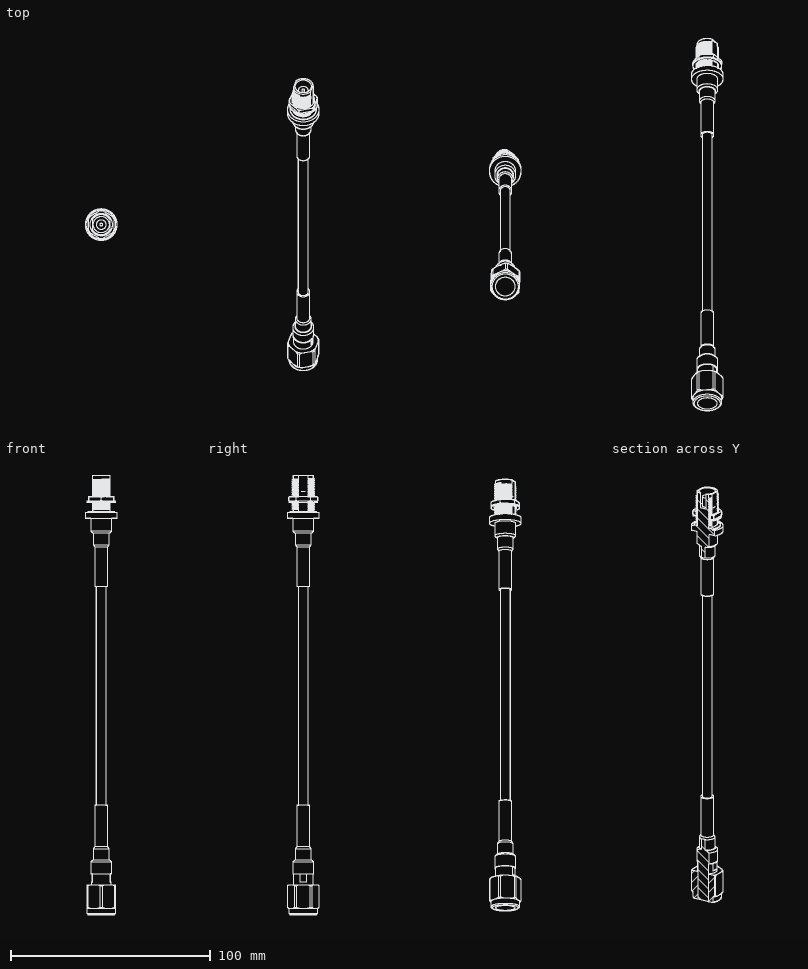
import cadquery as cq
import math


total_length = 219.96
flange_diameter = 15.88

cable_diameter = 5.0
boot_diameter = 6.5
lower_boot_top = 55.0
upper_boot_bottom = 164.3

collar_diameter = 7.8
shank_diameter = 10.5
collar_taper_height = 1.1
shank_chamfer = 1.0

wrench_neck_diameter = 9.8
wrench_flat_width = 9.2
wrench_flat_bottom = 16.4
plug_shank_bottom = 20.5
plug_shank_top = 27.5
plug_collar_top = 34.2

coupling_across_flats = 14.29
coupling_corner_diameter = flange_diameter
coupling_height = 15.1
coupling_ring_diameter = coupling_across_flats
coupling_ring_height = 3.3
coupling_ring_chamfer = 0.6
coupling_hex_chamfer = 0.5

jack_collar_bottom = 184.1
jack_shank_bottom = 191.0
flange_bottom = 198.4
flange_top = 201.4
flange_step_diameter = 13.2
flange_step_height = 0.5

thread_pitch = 25.4 / 28
thread_major_diameter = 11.11
thread_root_diameter = 10.1
thread_flats_width = 8.9
thread_end = total_length - 1.5
thread_bottom = flange_top + flange_step_height
thread_crest_width = thread_pitch / 8
thread_base_width = thread_pitch * 0.8
thread_embed = 0.1
thread_runout = 0.2
thread_clearance = 0.05
clearance_hole_diameter = thread_major_diameter + 2 * thread_clearance

socket_diameter = 8.1
socket_depth = 8.0
insulator_diameter = 4.8
insulator_recess = 3.0
contact_hole_diameter = 1.4
contact_hole_depth = 5.0

washer_bottom = 206.4
washer_thickness = 0.6
washer_diameter = 14.5
hex_nut_across_flats = 12.7
hex_nut_bottom = washer_bottom + washer_thickness
hex_nut_thickness = 2.3
hex_nut_chamfer = 0.45


def cylinder(diameter, bottom, top):
    return cq.Workplane("XY").workplane(offset=bottom).circle(diameter / 2).extrude(top - bottom)


def cone(bottom_diameter, top_diameter, bottom, top):
    frustum = cq.Solid.makeCone(
        bottom_diameter / 2, top_diameter / 2, top - bottom, pnt=cq.Vector(0, 0, bottom)
    )
    return cq.Workplane(obj=frustum)


def hexagon(across_flats, bottom, top):
    """Hexagonal bar with two faces square to X."""
    corner_diameter = across_flats / math.cos(math.pi / 6)
    bar = cq.Workplane("XY").workplane(offset=bottom).polygon(6, corner_diameter).extrude(top - bottom)
    return bar.rotate((0, 0, 0), (0, 0, 1), 30)


def flatted(body, width, bottom, top):
    """Cut a pair of flats, square to X, over part of the height of a round body."""
    height = top - bottom
    block = cq.Workplane("XY").box(flange_diameter, flange_diameter, height)
    block = block.cut(cq.Workplane("XY").box(width, flange_diameter, height))
    return body.cut(block.translate((0, 0, bottom + height / 2)))


def make_cable():
    return cylinder(cable_diameter, plug_collar_top, jack_collar_bottom)


def make_boot(bottom, top):
    return cylinder(boot_diameter, bottom, top).cut(cylinder(cable_diameter, bottom, top))


def make_plug_body():
    neck = cylinder(wrench_neck_diameter, 0, plug_shank_bottom)
    neck = flatted(neck, wrench_flat_width, wrench_flat_bottom, plug_shank_bottom)
    shank = cylinder(shank_diameter, plug_shank_bottom, plug_shank_top)
    shank = shank.faces(">Z").chamfer(shank_chamfer)
    taper_bottom = plug_collar_top - collar_taper_height
    collar = cylinder(collar_diameter, plug_shank_top, taper_bottom)
    taper = cone(collar_diameter, boot_diameter, taper_bottom, plug_collar_top)
    return neck.union(shank).union(collar).union(taper)


def make_coupling_nut():
    hex_part = hexagon(coupling_across_flats, coupling_ring_height, coupling_height)
    corner_trim = cylinder(coupling_corner_diameter, coupling_ring_height, coupling_height)
    corner_trim = corner_trim.faces("<Z or >Z").chamfer(coupling_hex_chamfer)
    ring = cylinder(coupling_ring_diameter, 0, coupling_ring_height)
    ring = ring.faces("<Z").chamfer(coupling_ring_chamfer)
    bore = cylinder(wrench_neck_diameter, 0, coupling_height)
    return hex_part.intersect(corner_trim).union(ring).cut(bore)


def make_thread_ridge():
    """Helical ridge with a truncated V profile, its base sunk slightly into the thread root."""
    root_radius = thread_root_diameter / 2
    inner_radius = root_radius - thread_embed
    start = thread_bottom + thread_runout + thread_base_width / 2
    height = thread_end - start - thread_base_width / 2
    helix = cq.Wire.makeHelix(thread_pitch, height, root_radius, center=cq.Vector(0, 0, start))
    profile = (
        cq.Workplane("XZ")
        .moveTo(inner_radius, start - thread_base_width / 2)
        .lineTo(thread_major_diameter / 2, start - thread_crest_width / 2)
        .lineTo(thread_major_diameter / 2, start + thread_crest_width / 2)
        .lineTo(inner_radius, start + thread_base_width / 2)
        .close()
    )
    return profile.sweep(cq.Workplane(helix), isFrenet=True)


def make_jack_body():
    taper_top = jack_collar_bottom + collar_taper_height
    taper = cone(boot_diameter, collar_diameter, jack_collar_bottom, taper_top)
    collar = cylinder(collar_diameter, taper_top, jack_shank_bottom)
    shank = cylinder(shank_diameter, jack_shank_bottom, flange_bottom)
    shank = shank.faces("<Z").chamfer(shank_chamfer)
    flange = cylinder(flange_diameter, flange_bottom, flange_top)
    step = cylinder(flange_step_diameter, flange_top, thread_bottom)
    barrel = cylinder(thread_root_diameter, thread_bottom, total_length).union(make_thread_ridge())
    barrel = flatted(barrel, thread_flats_width, thread_bottom, total_length)
    body = taper.union(collar).union(shank).union(flange).union(step).union(barrel)

    socket_floor = total_length - socket_depth
    insulator_top = total_length - insulator_recess
    socket = cylinder(socket_diameter, socket_floor, total_length)
    insulator = cylinder(insulator_diameter, socket_floor, insulator_top)
    contact_hole = cylinder(contact_hole_diameter, insulator_top - contact_hole_depth, insulator_top)
    return body.cut(socket.cut(insulator)).cut(contact_hole)


def make_washer():
    top = washer_bottom + washer_thickness
    washer = cylinder(washer_diameter, washer_bottom, top)
    return washer.cut(cylinder(clearance_hole_diameter, washer_bottom, top))


def make_hex_nut():
    top = hex_nut_bottom + hex_nut_thickness
    corner_diameter = hex_nut_across_flats / math.cos(math.pi / 6)
    trim = cylinder(corner_diameter, hex_nut_bottom, top).faces("<Z or >Z").chamfer(hex_nut_chamfer)
    nut = hexagon(hex_nut_across_flats, hex_nut_bottom, top).intersect(trim)
    return nut.cut(cylinder(clearance_hole_diameter, hex_nut_bottom, top))


cable = make_cable()
boot_spans = [(plug_collar_top, lower_boot_top), (upper_boot_bottom, jack_collar_bottom)]
boots = [make_boot(bottom, top) for bottom, top in boot_spans]
plug_body = make_plug_body()
coupling_nut = make_coupling_nut()
jack_body = make_jack_body()
washer = make_washer()
hex_nut = make_hex_nut()

result = cq.Compound.makeCompound([
    cable.val(),
    *[boot.val() for boot in boots],
    plug_body.val(),
    coupling_nut.val(),
    jack_body.val(),
    washer.val(),
    hex_nut.val(),
])